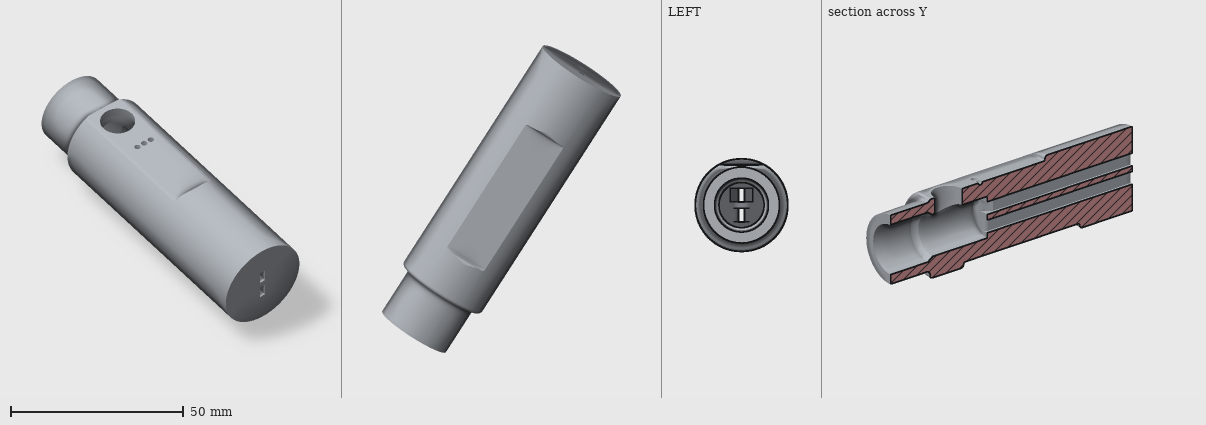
import cadquery as cq
import math

total_length = 91.2
body_radius = 13.5

spigot_radius = 11.0
foot_start = 13.8
foot_fillet = 1.1
shoulder_x = foot_start + foot_fillet
shoulder_fillet = 1.1

flat_height = 11.9
flat_half_width = 6.1
flat_edge_drop = 0.2
flat_edge_run = 0.6
step_foot = 0.55
step_crest = body_radius - flat_height - step_foot
step_length = step_foot + step_crest
top_flat_end = 57.6
bottom_flat_start = 28.3
bottom_flat_end = 70.8

nose_start = 14.2
nose_end = 15.7
nose_half_width = 6.5

mouth_radius = 7.8
taper_start = 14.1
taper_length = 1.8
bore_radius = 6.6
floor_x = 36.5

window_x = 22.0
window_radius = 5.1

dimple_x = 33.9
dimple_radius = 0.9
dimple_pitch = 2.5
dimple_row_y = 0.55
dimple_count = 3

slot_width = 1.7
slot_height = 3.9
slot_centre_z = 2.9
funnel_mouth = 6.5
funnel_depth = 2.9
lip_mouth = 4.2
lip_radius = (lip_mouth - slot_width) / 2

clearance = 4.6


def body():
    """Solid of revolution with the spigot and the rounded shoulder."""
    diagonal = math.sqrt(0.5)
    foot_mid = (
        foot_start + foot_fillet * diagonal,
        spigot_radius + foot_fillet * (1 - diagonal),
    )
    shoulder_mid = (
        shoulder_x + shoulder_fillet * (1 - diagonal),
        body_radius - shoulder_fillet * (1 - diagonal),
    )
    return (
        cq.Workplane("XY")
        .moveTo(0, 0)
        .lineTo(0, spigot_radius)
        .lineTo(foot_start, spigot_radius)
        .threePointArc(foot_mid, (shoulder_x, spigot_radius + foot_fillet))
        .lineTo(shoulder_x, body_radius - shoulder_fillet)
        .threePointArc(shoulder_mid, (shoulder_x + shoulder_fillet, body_radius))
        .lineTo(total_length, body_radius)
        .lineTo(total_length, 0)
        .close()
        .revolve(360, (0, 0, 0), (1, 0, 0))
    )


def add_end_step(outline, flat_end, side, direction):
    """Continue an outline from the end of a flat up its S-shaped step.

    side is +1 for the top flat and -1 for the bottom one; direction is the
    sense along X in which the step leaves the flat.
    """
    diagonal = math.sqrt(0.5)
    middle_x = flat_end + direction * step_foot
    middle_z = side * (flat_height + step_foot)
    foot_mid = (
        flat_end + direction * step_foot * diagonal,
        side * (flat_height + step_foot * (1 - diagonal)),
    )
    crest_mid = (
        middle_x + direction * step_crest * (1 - diagonal),
        side * (body_radius - step_crest * (1 - diagonal)),
    )
    crest_end = (middle_x + direction * step_crest, side * body_radius)
    return (
        outline.threePointArc(foot_mid, (middle_x, middle_z))
        .threePointArc(crest_mid, crest_end)
    )


def top_flat_cutter():
    """Flat with softened long edges, ending in a step up to the full radius."""
    reach = clearance / flat_edge_run
    side_y = flat_half_width + flat_edge_run * reach
    side_z = flat_height - flat_edge_drop * reach
    top_z = body_radius + clearance
    section = [
        (-side_y, top_z),
        (-side_y, side_z),
        (-flat_half_width, flat_height),
        (flat_half_width, flat_height),
        (side_y, side_z),
        (side_y, top_z),
    ]
    end = top_flat_end + step_length
    trough = cq.Workplane("YZ").workplane(offset=foot_start).polyline(section).close()
    trough = trough.extrude(end - foot_start)
    outline = (
        cq.Workplane("XZ")
        .moveTo(foot_start, side_z)
        .lineTo(top_flat_end, side_z)
        .lineTo(top_flat_end, flat_height)
    )
    profile = (
        add_end_step(outline, top_flat_end, 1, 1)
        .lineTo(end, top_z)
        .lineTo(foot_start, top_z)
        .close()
        .extrude(body_radius, both=True)
    )
    return trough.intersect(profile)


def bottom_flat_cutter():
    """Plain flat underneath with the same step at both ends."""
    middle = (bottom_flat_start + bottom_flat_end) / 2

    def half(flat_end, direction):
        outline = (
            cq.Workplane("XZ")
            .moveTo(middle, -body_radius - clearance)
            .lineTo(middle, -flat_height)
            .lineTo(flat_end, -flat_height)
        )
        return (
            add_end_step(outline, flat_end, -1, direction)
            .lineTo(flat_end + direction * step_length, -body_radius - clearance)
            .close()
            .extrude(body_radius, both=True)
        )

    return half(bottom_flat_start, -1).union(half(bottom_flat_end, 1))


def nose_cutter():
    """Rounds the front end of the top flat down to the spigot."""
    run = nose_end - nose_start
    drop = flat_height - spigot_radius
    nose_radius = (run**2 + drop**2) / (2 * drop)
    return (
        cq.Workplane("XZ")
        .moveTo(nose_start, spigot_radius)
        .radiusArc((nose_end, flat_height), nose_radius)
        .lineTo(nose_end, body_radius)
        .lineTo(nose_start, body_radius)
        .close()
        .extrude(nose_half_width, both=True)
    )


def bore_cutter():
    """Wide mouth tapering to the narrower bore, which ends in a flat floor."""
    return (
        cq.Workplane("XY")
        .moveTo(0, 0)
        .lineTo(0, mouth_radius)
        .lineTo(taper_start, mouth_radius)
        .lineTo(taper_start + taper_length, bore_radius)
        .lineTo(floor_x, bore_radius)
        .lineTo(floor_x, 0)
        .close()
        .revolve(360, (0, 0, 0), (1, 0, 0))
    )


def window_cutter():
    """Round hole from the top flat down to the axis of the bore."""
    return (
        cq.Workplane("XY")
        .center(window_x, 0)
        .circle(window_radius)
        .extrude(body_radius)
    )


def dimple_cutter():
    """Row of hemispherical dimples across the flat."""
    centres = [
        (dimple_x, dimple_row_y + (i - (dimple_count - 1) / 2) * dimple_pitch)
        for i in range(dimple_count)
    ]
    return (
        cq.Workplane("XY")
        .workplane(offset=flat_height)
        .pushPoints(centres)
        .sphere(dimple_radius)
    )


def funnel_slot_cutter():
    """Upper slot with a straight-sided funnel mouth."""
    return (
        cq.Workplane("XY")
        .workplane(offset=slot_centre_z - slot_height / 2)
        .moveTo(floor_x, funnel_mouth / 2)
        .lineTo(floor_x + funnel_depth, slot_width / 2)
        .lineTo(total_length, slot_width / 2)
        .lineTo(total_length, -slot_width / 2)
        .lineTo(floor_x + funnel_depth, -slot_width / 2)
        .lineTo(floor_x, -funnel_mouth / 2)
        .close()
        .extrude(slot_height)
    )


def lipped_slot_cutter():
    """Lower slot whose mouth is rounded over on both sides."""
    throat_x = floor_x + lip_radius
    diagonal = math.sqrt(0.5)
    bulge_x = throat_x - lip_radius * diagonal
    bulge_y = lip_mouth / 2 - lip_radius * diagonal
    return (
        cq.Workplane("XY")
        .workplane(offset=-slot_centre_z - slot_height / 2)
        .moveTo(floor_x, lip_mouth / 2)
        .threePointArc((bulge_x, bulge_y), (throat_x, slot_width / 2))
        .lineTo(total_length, slot_width / 2)
        .lineTo(total_length, -slot_width / 2)
        .lineTo(throat_x, -slot_width / 2)
        .threePointArc((bulge_x, -bulge_y), (floor_x, -lip_mouth / 2))
        .close()
        .extrude(slot_height)
    )


result = (
    body()
    .cut(top_flat_cutter())
    .cut(nose_cutter())
    .cut(bottom_flat_cutter())
    .cut(bore_cutter())
    .cut(window_cutter())
    .cut(dimple_cutter())
    .cut(funnel_slot_cutter())
    .cut(lipped_slot_cutter())
)